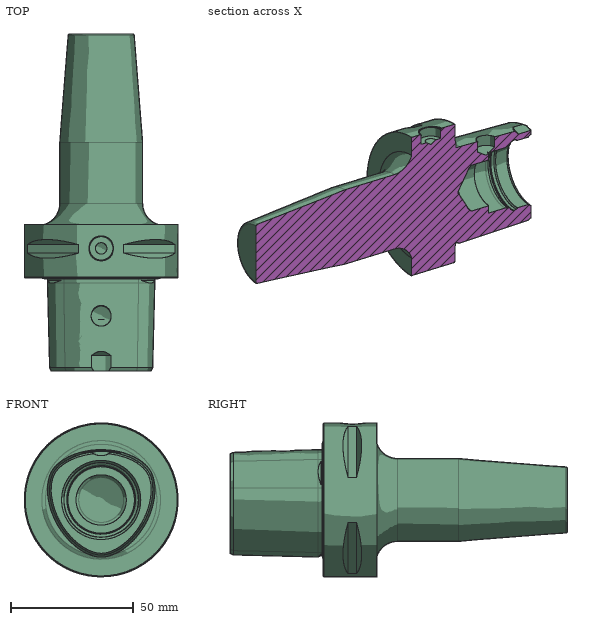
import cadquery as cq
import math


overall_length = 138.0
shank_length = 38.0
tool_end_y = overall_length - shank_length
tool_end_radius = 13.5
tool_end_fillet = 0.8
neck_radius = 17.0
nose_taper_angle = 4.5
neck_fillet_height = 8.5
neck_fillet_flare = 6.3

flange_radius = 31.5
flange_thickness = 22.0
flange_chamfer = 0.4
seat_rim_outer_radius = 24.3
seat_rim_inner_radius = 22.8
seat_rim_height = 0.4

polygon_diameter = 44.0
polygon_eccentricity = 1.4
polygon_taper = 1 / 20
polygon_root_length = 2.0
root_relief_length = 0.9
tip_chamfer_length = 1.4
tip_chamfer_depth = 0.7
corner_normals = (60, 180, 300)
corner_half_angle = 28.0
points_per_segment = 8

mouth_radius = 16.2
entry_radius = 15.2
mouth_chamfer_depth = 1.4
entry_depth = 7.0
groove_radius = 15.8
groove_start_depth = 7.5
groove_end_depth = 9.0
shoulder_radius = 15.3
shoulder_depth = 10.0
lip_radius = 14.05
lip_end_depth = 11.6
clamp_radius = 13.6
clamp_start_depth = 13.2
clamp_depth = 21.2
core_radius = 10.3
core_depth = 30.0
core_drill_radius = 9.2
drill_point_angle = 118.0

groove_count = 4
first_groove_angle = 45
gripper_y = 12.0
gripper_floor_distance = 27.8
gripper_floor_width = 3.4
gripper_wall_angle = 30.0

hole_chamfer = 0.3

pocket_y = 12.2
pocket_radius = 4.8
pocket_floor_z = 27.0
pocket_mouth_z = 31.2
pocket_drill_radius = 2.35

shank_hole_radius = 4.1
shank_hole_from_tip = 22.5
shank_hole_tip_z = 13.0
shank_hole_mouth_z = 20.4
notch_width = 8.0
notch_floor_z = 18.1
notch_radius = 6.2
notch_length = 6.3


def drill_point_height(radius):
    return radius / math.tan(math.radians(drill_point_angle / 2))


def polygon_point(diameter, angle):
    """Point of the three-lobed outline whose outward normal lies at the given angle from +Z."""
    g = math.radians(angle)
    e = polygon_eccentricity
    along_flat = diameter / 2 * math.cos(g) - 2 * e * math.cos(2 * g) + e * math.cos(4 * g)
    across = diameter / 2 * math.sin(g) + 2 * e * math.sin(2 * g) + e * math.sin(4 * g)
    return across, along_flat


def polygon_wire(diameter, y):
    """Closed outline in the plane at y, with alternating corner and flat stretches."""
    breaks = []
    for corner in corner_normals:
        breaks += [corner - corner_half_angle, corner + corner_half_angle]
    edges = []
    for start, end in zip(breaks, breaks[1:] + [breaks[0] + 360]):
        points = []
        for i in range(points_per_segment + 1):
            x, z = polygon_point(diameter, start + (end - start) * i / points_per_segment)
            points.append(cq.Vector(x, y, z))
        tangents = []
        for angle in (start, end):
            g = math.radians(angle)
            tangents.append(cq.Vector(math.cos(g), 0, -math.sin(g)))
        edges.append(cq.Edge.makeSpline(points, tangents=tangents))
    return cq.Wire.assembleEdges(edges)


def polygon_section(diameter_a, y_a, diameter_b, y_b):
    wires = [polygon_wire(diameter_a, y_a), polygon_wire(diameter_b, y_b)]
    return cq.Workplane(obj=cq.Solid.makeLoft(wires, True))


def revolve_about_y(profile):
    return profile.close().revolve(360, (0, 0, 0), (0, 1, 0))


def make_body():
    cone_length = (neck_radius - tool_end_radius) / math.tan(math.radians(nose_taper_angle))
    fillet_top_y = flange_thickness + neck_fillet_height
    fillet_radius = (neck_fillet_height**2 + neck_fillet_flare**2) / (2 * neck_fillet_flare)
    half_sweep = math.asin(neck_fillet_height / fillet_radius) / 2
    fillet_mid = (
        neck_radius + fillet_radius * (1 - math.cos(half_sweep)),
        fillet_top_y - fillet_radius * math.sin(half_sweep),
    )
    profile = (
        cq.Workplane("XY")
        .moveTo(0, -seat_rim_height)
        .lineTo(seat_rim_inner_radius, -seat_rim_height)
        .lineTo(seat_rim_outer_radius, 0)
        .lineTo(flange_radius - flange_chamfer, 0)
        .lineTo(flange_radius, flange_chamfer)
        .lineTo(flange_radius, flange_thickness)
        .lineTo(neck_radius + neck_fillet_flare, flange_thickness)
        .threePointArc(fillet_mid, (neck_radius, fillet_top_y))
        .lineTo(neck_radius, tool_end_y - cone_length)
        .lineTo(tool_end_radius, tool_end_y)
        .lineTo(0, tool_end_y)
    )
    return revolve_about_y(profile).faces(">Y").edges().fillet(tool_end_fillet)


def make_shank():
    chamfer_y = tip_chamfer_length - shank_length
    taper_length = shank_length - polygon_root_length - tip_chamfer_length
    end_diameter = polygon_diameter - polygon_taper * taper_length
    tip_diameter = end_diameter - 2 * tip_chamfer_depth
    root = polygon_section(polygon_diameter, 0, polygon_diameter, -polygon_root_length)
    corner_radius = polygon_diameter / 2 + polygon_eccentricity
    relief_envelope = revolve_about_y(
        cq.Workplane("XY")
        .lineTo(seat_rim_inner_radius, 0)
        .lineTo(seat_rim_inner_radius, -root_relief_length)
        .lineTo(corner_radius, -polygon_root_length)
        .lineTo(0, -polygon_root_length)
    )
    taper = polygon_section(polygon_diameter, -polygon_root_length, end_diameter, chamfer_y)
    tip = polygon_section(end_diameter, chamfer_y, tip_diameter, -shank_length)
    return root.intersect(relief_envelope).union(taper).union(tip)


def make_bore():
    tip_y = -shank_length
    core_end = tip_y + core_depth
    drill_start = core_end + core_radius - core_drill_radius
    lip_mid = (
        lip_radius + (shoulder_radius - lip_radius) * (1 - math.sin(math.pi / 4)),
        tip_y + lip_end_depth - (lip_end_depth - shoulder_depth) * math.sin(math.pi / 4),
    )
    profile = (
        cq.Workplane("XY")
        .moveTo(0, tip_y)
        .lineTo(mouth_radius, tip_y)
        .lineTo(entry_radius, tip_y + mouth_chamfer_depth)
        .lineTo(entry_radius, tip_y + entry_depth)
        .lineTo(groove_radius, tip_y + groove_start_depth)
        .lineTo(groove_radius, tip_y + groove_end_depth)
        .lineTo(shoulder_radius, tip_y + shoulder_depth)
        .threePointArc(lip_mid, (lip_radius, tip_y + lip_end_depth))
        .lineTo(clamp_radius, tip_y + clamp_start_depth)
        .lineTo(clamp_radius, tip_y + clamp_depth)
        .lineTo(core_radius, tip_y + clamp_depth)
        .lineTo(core_radius, core_end)
        .lineTo(core_drill_radius, drill_start)
        .lineTo(0, drill_start + drill_point_height(core_drill_radius))
    )
    return revolve_about_y(profile)


def make_gripper_groove():
    """Straight trapezoidal groove across the +X side of the rim."""
    depth = flange_radius - gripper_floor_distance
    half_floor = gripper_floor_width / 2
    half_top = half_floor + depth * math.tan(math.radians(gripper_wall_angle))
    return (
        cq.Workplane("XY")
        .moveTo(gripper_floor_distance, gripper_y - half_floor)
        .lineTo(flange_radius, gripper_y - half_top)
        .lineTo(flange_radius, gripper_y + half_top)
        .lineTo(gripper_floor_distance, gripper_y + half_floor)
        .close()
        .extrude(flange_radius, both=True)
    )


def hole_along_z(radius, y, floor_z, mouth_z, top_z):
    """Flat-floored round hole with a 45 degree mouth chamfer that ends at mouth_z."""
    rim_radius = radius + hole_chamfer
    profile = (
        cq.Workplane("XZ")
        .moveTo(0, floor_z)
        .lineTo(radius, floor_z)
        .lineTo(radius, mouth_z - hole_chamfer)
        .lineTo(rim_radius, mouth_z)
        .lineTo(rim_radius, top_z)
        .lineTo(0, top_z)
        .close()
    )
    return profile.revolve(360, (0, 0, 0), (0, 1, 0)).translate((0, y, 0))


def drill_point(radius, y, base_z):
    """Cone that continues a round hole below base_z."""
    height = drill_point_height(radius)
    cone = cq.Solid.makeCone(radius, 0, height, cq.Vector(0, y, base_z), cq.Vector(0, 0, -1))
    return cq.Workplane(obj=cone)


def make_rim_pocket():
    pocket = hole_along_z(pocket_radius, pocket_y, pocket_floor_z, pocket_mouth_z, flange_radius)
    return pocket.union(drill_point(pocket_drill_radius, pocket_y, pocket_floor_z))


def make_shank_hole():
    y = shank_hole_from_tip - shank_length
    base_z = shank_hole_tip_z + drill_point_height(shank_hole_radius)
    hole = hole_along_z(shank_hole_radius, y, base_z, shank_hole_mouth_z, polygon_diameter / 2)
    return hole.union(drill_point(shank_hole_radius, y, base_z))


def make_tip_notch():
    """Round-bottomed notch along Y with flat sides and a 45 degree conical inner end."""
    profile = (
        cq.Workplane("XY")
        .moveTo(0, -shank_length)
        .lineTo(notch_radius, -shank_length)
        .lineTo(notch_radius, notch_length - shank_length)
        .lineTo(0, notch_length + notch_radius - shank_length)
    )
    cutter = revolve_about_y(profile).translate((0, 0, notch_floor_z + notch_radius))
    side_limits = cq.Workplane("XY").box(notch_width, overall_length, overall_length)
    return cutter.intersect(side_limits)


result = make_body().union(make_shank()).cut(make_bore())
for i in range(groove_count):
    groove_angle = first_groove_angle + 360 / groove_count * i
    result = result.cut(make_gripper_groove().rotate((0, 0, 0), (0, 1, 0), groove_angle))
result = result.cut(make_rim_pocket())
result = result.cut(make_shank_hole())
result = result.cut(make_tip_notch())